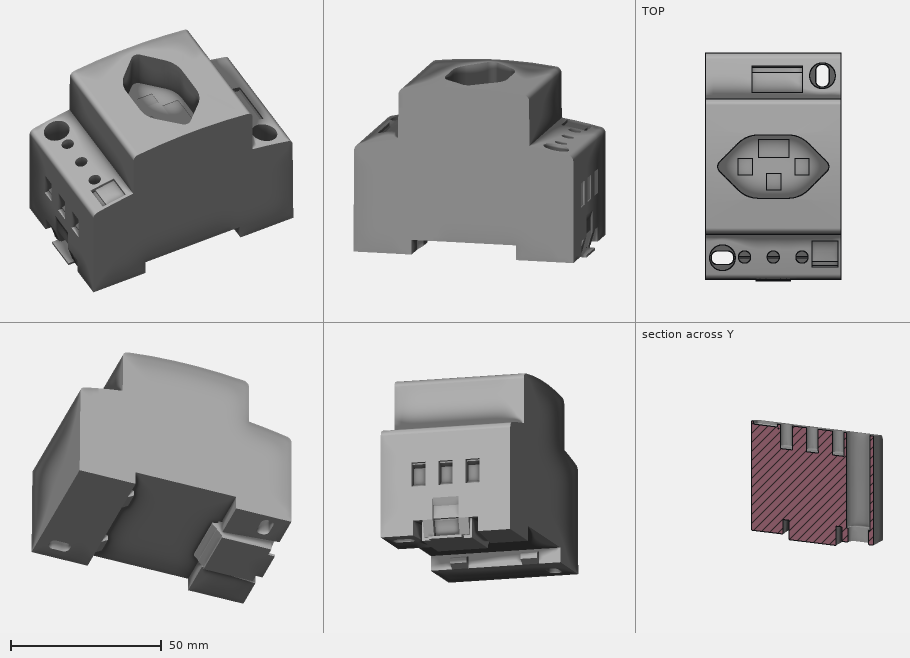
import cadquery as cq
import math


width = 45.0
body_half = 37.4
rear_foot_y = 37.7
overlap = 0.75
tower_half_base = 22.4
tower_half_top = 22.3
tower_crown_z = 57.5
shoulder_crown_z = 40.5
roof_radius = 160.0
edge_radius = 2.05
rail_half = 17.8
rail_height = 5.0

socket_half_x = 18.4
socket_half_y = 10.5
socket_side_radius = 9.4
socket_tip_radius = 2.3
socket_floor_z = 44.2
contact_depth = 0.2
contact_size = (4.7, 5.5)
contact_offset_x = 9.4
contact_side_y = 0.0
contact_middle_y = -5.0
plate_size = (10.2, 5.9)
plate_y = 6.05
socket_x = 0.15

bore_diameter = 8.5
slot_length = 7.4
slot_width = 4.4
slot_end_radius = 1.9
bore_floor_z = 5.0
front_mount = (-16.8, -30.2)
rear_mount = (16.3, 30.1)

screw_pitch = 9.5
screw_y = -30.0
screw_diameter = 4.1
screw_head_z = 30.2
screw_slot_width = 0.5
screw_slot_depth = 0.75
wire_pitch = 9.4
wire_width = 4.9
wire_bottom_z = 16.5
wire_top_z = 24.7
wire_mouth_depth = 1.5
wire_step = 0.45
wire_taper = 1.0
wire_depth = 3.2

clip_half = 8.7
clip_bottom_z = -1.65
clip_front_y = -35.5
clip_rear_y = -18.05
hook_neck_y = -16.75
hook_neck_z = 4.3
hook_shoulder_y = -16.0
hook_shoulder_z = 3.9
hook_tip_y = -14.6
hook_tip_top_z = 3.8
hook_tip_bottom_z = 3.25
hook_step_y = -16.15
hook_step_top_z = 1.6
hook_step_bottom_z = 1.2
hook_bottom_z = -0.7
tab_front_y = -37.8
tab_width = 11.55
tab_thickness = 0.8
wedge_half = 7.9
wedge_bottom_z = -0.45
wedge_top_y = -body_half
wedge_slope = 0.29
grip_half = 4.45
grip_depth = 2.3
grip_top_z = 5.35
finger_bottom_z = 9.6
finger_top_z = 12.3
channel_half_front = 11.3
channel_half_rear = 9.5
fixed_lug_inner_x = 9.35
fixed_lug_outer_x = 15.1
fixed_lug_tip_y = 15.55
fixed_lug_tip_bottom_z = 1.5
fixed_lug_tip_top_z = 3.25
fixed_lug_bevel_y = 16.45
fixed_lug_bevel_z = 3.8
fixed_lug_top_z = 4.1

window_inner_y = 24.6
window_ridge_y = 28.4
window_outer_y = 33.3
window_depth = 1.0
groove_line_y = 32.8
groove_depth = 1.65
front_lever_end_y = 31.5
front_window_x = (12.8, 21.4)
rear_lever_end_y = 31.2
rear_window_x = (-7.0, 9.7)


def roof_z(crown_z, y):
    """Height of a roof arc at distance y from its peak."""
    return crown_z - roof_radius + math.sqrt(roof_radius ** 2 - y ** 2)


def block(x_range, y_range, z_range):
    size = [high - low for low, high in (x_range, y_range, z_range)]
    return cq.Workplane("XY").box(*size, centered=False).translate((x_range[0], y_range[0], z_range[0]))


def prism(points, x_low, x_high):
    """Extrude a Y-Z outline along X."""
    return cq.Workplane("YZ").polyline(points).close().extrude(x_high - x_low).translate((x_low, 0, 0))


def cylinder(x, y, diameter, floor_z):
    """Upright cylinder from a floor to clear above the shoulder."""
    height = shoulder_crown_z - floor_z
    return cq.Workplane("XY", origin=(x, y, floor_z)).circle(diameter / 2).extrude(height)


def make_housing():
    shoulder_out_z = roof_z(shoulder_crown_z, body_half)
    shoulder_in_z = roof_z(shoulder_crown_z, tower_half_base)
    shoulder_mid_y = (body_half + tower_half_base) / 2
    shoulder_mid_z = roof_z(shoulder_crown_z, shoulder_mid_y)
    tower_edge_z = roof_z(tower_crown_z, tower_half_top)
    housing = (
        cq.Workplane("YZ")
        .moveTo(-body_half, 0)
        .lineTo(-body_half, shoulder_out_z)
        .threePointArc((-shoulder_mid_y, shoulder_mid_z), (-tower_half_base, shoulder_in_z))
        .lineTo(-tower_half_top, tower_edge_z)
        .threePointArc((0, tower_crown_z), (tower_half_top, tower_edge_z))
        .lineTo(tower_half_base, shoulder_in_z)
        .threePointArc((shoulder_mid_y, shoulder_mid_z), (body_half, shoulder_out_z))
        .lineTo(rear_foot_y, 0)
        .lineTo(rail_half, 0)
        .lineTo(rail_half, rail_height)
        .lineTo(-rail_half, rail_height)
        .lineTo(-rail_half, 0)
        .close()
        .extrude(width / 2, both=True)
    )
    for y, z in ((body_half, shoulder_out_z), (tower_half_top, tower_edge_z)):
        for side in (-1, 1):
            edge = cq.selectors.NearestToPointSelector((0, side * y, z))
            housing = housing.edges("|X").edges(edge).fillet(edge_radius)
    return housing


def make_socket_recess():
    depth = tower_crown_z - socket_floor_z
    tip_x = socket_half_x + socket_tip_radius * (math.sqrt(2) - 1)
    corner_x = tip_x - socket_half_y
    recess = (
        cq.Workplane("XY", origin=(0, 0, socket_floor_z))
        .polyline([
            (tip_x, 0), (corner_x, socket_half_y), (-corner_x, socket_half_y),
            (-tip_x, 0), (-corner_x, -socket_half_y), (corner_x, -socket_half_y),
        ])
        .close()
        .extrude(depth)
    )
    recess = recess.edges("|Z").edges("<X or >X").fillet(socket_tip_radius)
    recess = recess.edges("|Z").edges("<Y or >Y").fillet(socket_side_radius)
    contacts = [
        (-contact_offset_x, contact_side_y), (contact_offset_x, contact_side_y), (0, contact_middle_y),
    ]
    floor = cq.Workplane("XY", origin=(socket_x, 0, socket_floor_z - contact_depth))
    windows = floor.pushPoints(contacts).rect(*contact_size).extrude(contact_depth)
    plate = floor.center(0, plate_y).rect(*plate_size).extrude(contact_depth)
    return recess.union(windows).union(plate)


def make_mount_hole(position, angle):
    bore = cylinder(*position, bore_diameter, bore_floor_z)
    slot = (
        cq.Workplane("XY")
        .rect(slot_length, slot_width)
        .extrude(bore_floor_z)
        .edges("|Z")
        .fillet(slot_end_radius)
        .rotate((0, 0, 0), (0, 0, 1), angle)
        .translate((*position, 0))
    )
    return bore.union(slot)


def make_screw_hole(x):
    hole = cylinder(x, screw_y, screw_diameter, screw_head_z)
    slot = (
        cq.Workplane("XY", origin=(x, screw_y, screw_head_z - screw_slot_depth))
        .rect(screw_diameter, screw_slot_width)
        .extrude(screw_slot_depth)
    )
    return hole.union(slot)


def make_wire_entry(x):
    outside_y = -body_half - overlap
    mouth_y = -body_half + wire_mouth_depth
    back_y = -body_half + wire_depth
    inner_bottom_z = wire_bottom_z + wire_step
    inner_top_z = wire_top_z - wire_step
    outline = [
        (outside_y, wire_bottom_z), (mouth_y, wire_bottom_z), (mouth_y, inner_bottom_z),
        (back_y, inner_bottom_z + wire_taper), (back_y, inner_top_z - wire_taper),
        (mouth_y, inner_top_z), (mouth_y, wire_top_z), (outside_y, wire_top_z),
    ]
    return prism(outline, x - wire_width / 2, x + wire_width / 2)


def make_lever_window(side, lever_end_y, x_low, x_high):
    def floor(y, depth):
        return (side * y, roof_z(shoulder_crown_z, y) - depth)

    outline = [
        (side * window_inner_y, shoulder_crown_z),
        floor(window_inner_y, window_depth),
        floor(window_ridge_y, window_depth),
        floor(lever_end_y, window_depth),
        floor(lever_end_y, groove_depth),
        floor(groove_line_y, groove_depth),
        floor(window_outer_y, window_depth),
        (side * window_outer_y, shoulder_crown_z),
    ]
    return prism(outline, x_low, x_high)


def make_clip_channel():
    """Tapered channel through the front foot, and the finger slot above it."""
    channel = (
        cq.Workplane("XY")
        .polyline([
            (-channel_half_front, -body_half), (channel_half_front, -body_half),
            (channel_half_rear, -rail_half), (-channel_half_rear, -rail_half),
        ])
        .close()
        .extrude(rail_height)
    )
    front_y = -body_half
    face_y = front_y + wedge_slope * (finger_top_z - finger_bottom_z)
    grip_y = wedge_top_y + grip_depth
    finger = prism(
        [
            (front_y, finger_top_z), (face_y, finger_bottom_z), (face_y, grip_top_z),
            (grip_y, grip_top_z), (grip_y, rail_height), (front_y, rail_height),
        ],
        -grip_half, grip_half,
    )
    return channel.union(finger)


def make_clip():
    slide = prism(
        [
            (clip_rear_y, clip_bottom_z), (clip_front_y, clip_bottom_z), (clip_front_y, rail_height),
            (hook_neck_y, rail_height), (hook_neck_y, hook_neck_z), (hook_shoulder_y, hook_shoulder_z),
            (hook_tip_y, hook_tip_top_z), (hook_tip_y, hook_tip_bottom_z),
            (hook_step_y, hook_step_top_z), (hook_step_y, hook_step_bottom_z), (clip_rear_y, hook_bottom_z),
        ],
        -clip_half, clip_half,
    )
    wedge_bottom_y = wedge_top_y + wedge_slope * (rail_height - wedge_bottom_z)
    wedge = prism(
        [
            (wedge_top_y, rail_height), (wedge_bottom_y, wedge_bottom_z),
            (clip_front_y + overlap, wedge_bottom_z), (clip_front_y + overlap, rail_height),
        ],
        -wedge_half, wedge_half,
    )
    tab_top_z = clip_bottom_z + tab_thickness
    grip_bottom_y = wedge_top_y + grip_depth + wedge_slope * (rail_height - tab_top_z)
    grip = prism(
        [
            (tab_front_y, rail_height), (wedge_top_y + grip_depth, rail_height),
            (grip_bottom_y, tab_top_z), (tab_front_y, tab_top_z),
        ],
        -grip_half, grip_half,
    )
    tab = block(
        (-tab_width / 2, tab_width / 2), (tab_front_y, clip_front_y + overlap), (clip_bottom_z, tab_top_z)
    )
    gap = block(
        (-wedge_half, wedge_half), (tab_front_y, wedge_top_y + grip_depth), (tab_top_z, wedge_bottom_z)
    )
    return slide.union(wedge).cut(grip).cut(gap).union(tab)


def make_fixed_lugs():
    """Pair of lugs on the rear foot that grip the other side of the rail."""
    outline = [
        (rail_half + overlap, 0), (rail_half, 0),
        (fixed_lug_tip_y, fixed_lug_tip_bottom_z), (fixed_lug_tip_y, fixed_lug_tip_top_z),
        (fixed_lug_bevel_y, fixed_lug_bevel_z),
        (rail_half, fixed_lug_top_z), (rail_half + overlap, fixed_lug_top_z),
    ]
    left = prism(outline, -fixed_lug_outer_x, -fixed_lug_inner_x)
    right = prism(outline, fixed_lug_inner_x, fixed_lug_outer_x)
    return left.union(right)


result = make_housing().cut(make_socket_recess())
result = result.cut(make_mount_hole(front_mount, 0)).cut(make_mount_hole(rear_mount, 90))
for position in (-1, 0, 1):
    result = result.cut(make_screw_hole(position * screw_pitch)).cut(make_wire_entry(position * wire_pitch))
result = result.cut(make_lever_window(-1, front_lever_end_y, *front_window_x))
result = result.cut(make_lever_window(1, rear_lever_end_y, *rear_window_x))
result = result.cut(make_clip_channel()).union(make_clip()).union(make_fixed_lugs())